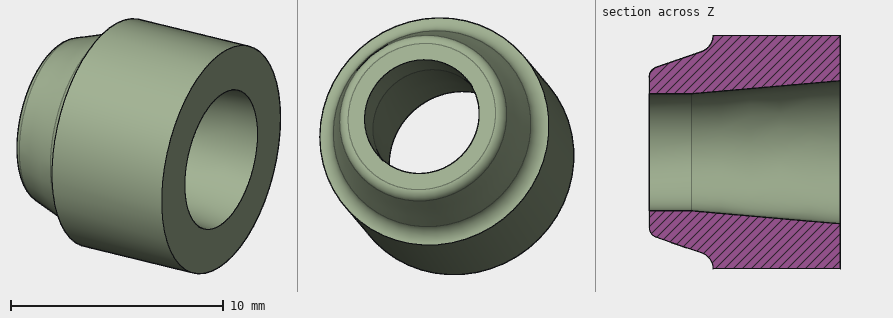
import cadquery as cq
import math

length = 9.0
body_radius = 5.5
body_start = 3.0

taper_angle = math.radians(19)
rim_fillet = 0.5
flare_fillet = 0.8

bore_radius = 2.75
straight_bore_depth = 2.0
bore_flare_angle = math.radians(5)
bore_end_radius = bore_radius + (length - straight_bore_depth) * math.tan(bore_flare_angle)

fillet_width = 1 - math.sin(taper_angle)
fillet_height = math.cos(taper_angle)

taper_start_x = rim_fillet * fillet_width
taper_end_x = body_start - flare_fillet * fillet_width
taper_end_radius = body_radius - flare_fillet * fillet_height
taper_rise = (taper_end_x - taper_start_x) * math.tan(taper_angle)
taper_start_radius = taper_end_radius - taper_rise
rim_face_radius = taper_start_radius - rim_fillet * fillet_height

half_section = (
    cq.Workplane("XY")
    .moveTo(0, bore_radius)
    .lineTo(0, rim_face_radius)
    .tangentArcPoint((taper_start_x, taper_start_radius), relative=False)
    .lineTo(taper_end_x, taper_end_radius)
    .tangentArcPoint((body_start, body_radius), relative=False)
    .lineTo(length, body_radius)
    .lineTo(length, bore_end_radius)
    .lineTo(straight_bore_depth, bore_radius)
    .close()
)

result = half_section.revolve(360, (0, 0, 0), (1, 0, 0))